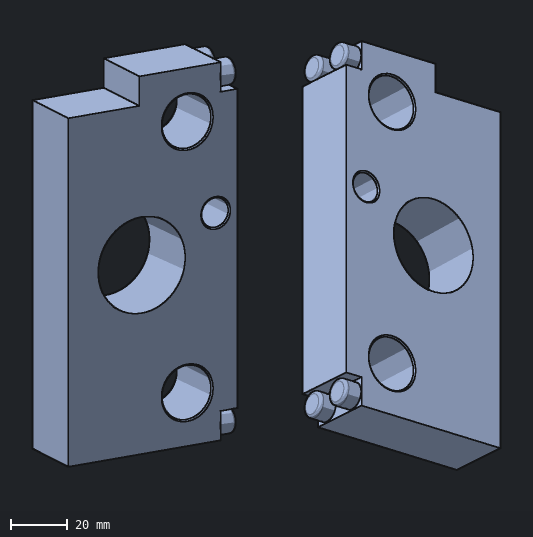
import cadquery as cq

thickness = 25.0
depth = 69.0
height = 139.5
shoulder_depth = 29.0
shoulder_drop = 10.9

notch_depth = 6.8
notch_height = 10.9
head_diameter = 10.0
head_fillet = 1.3
head_spacing = 14.4
head_edge_distance = 5.5

bore_diameter = 35.5
bore_y = 30.0
bolt_diameter = 20.0
bolt_y = 48.5
bolt_spacing = 100.0
pin_diameter = 10.9
pin_y = 60.1
pin_z = 84.3
hole_chamfer = 0.5

mid_z = height / 2
notch_floor_y = depth - notch_depth


def make_plate():
    """Extrude the stepped side outline through the thickness."""
    outline = [
        (0, 0),
        (notch_floor_y, 0),
        (notch_floor_y, notch_height),
        (depth, notch_height),
        (depth, height - notch_height),
        (notch_floor_y, height - notch_height),
        (notch_floor_y, height),
        (shoulder_depth, height),
        (shoulder_depth, height - shoulder_drop),
        (0, height - shoulder_drop),
    ]
    return cq.Workplane("YZ").polyline(outline).close().extrude(thickness / 2, both=True)


def make_hole(diameter, y, z, chamfer=0):
    """Cutter for a hole along X, flared at both mouths by the chamfer."""
    cutter = cq.Workplane("YZ").center(y, z).circle(diameter / 2).extrude(thickness / 2, both=True)
    if chamfer:
        for side in (-1, 1):
            mouth = (
                cq.Workplane("YZ", origin=(side * thickness / 2, 0, 0))
                .center(y, z)
                .circle(diameter / 2 + chamfer)
                .workplane(offset=-side * chamfer)
                .circle(diameter / 2)
                .loft()
            )
            cutter = cutter.union(mouth)
    return cutter


def make_screw_head(x, z):
    """Round screw head standing on the notch floor, flush with the back face."""
    return (
        cq.Workplane("XZ", origin=(x, notch_floor_y, z))
        .circle(head_diameter / 2)
        .extrude(-notch_depth)
        .faces(">Y")
        .edges()
        .fillet(head_fillet)
    )


result = make_plate()

result = result.cut(make_hole(bore_diameter, bore_y, mid_z))
for bolt_z in (mid_z - bolt_spacing / 2, mid_z + bolt_spacing / 2):
    result = result.cut(make_hole(bolt_diameter, bolt_y, bolt_z, hole_chamfer))
result = result.cut(make_hole(pin_diameter, pin_y, pin_z, hole_chamfer))

for head_x in (-head_spacing / 2, head_spacing / 2):
    for head_z in (head_edge_distance, height - head_edge_distance):
        result = result.union(make_screw_head(head_x, head_z))